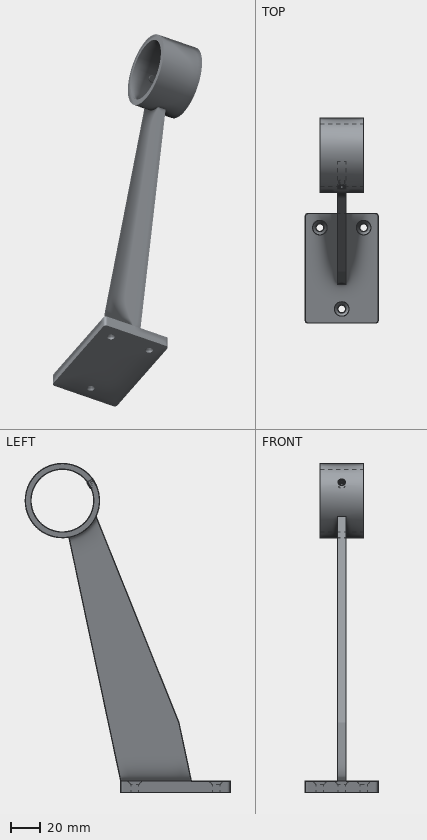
import cadquery as cq
import math

PLATE_WIDTH = 50.0
PLATE_LENGTH = 75.0
PLATE_THICKNESS = 8.0
PLATE_CORNER_RADIUS = 2.0

HOLE_DIAMETER = 5.2
COUNTERSINK_DIAMETER = 10.0
COUNTERSINK_ANGLE = 90
HOLE_EDGE_DISTANCE = 9.7
REAR_HOLE_SPACING = 30.0

TOTAL_DEPTH = 140.5
TOTAL_HEIGHT = 225.5
RING_OUTER_DIAMETER = 51.0
RING_BORE_DIAMETER = 42.8
RING_WIDTH = 30.0
RING_OUTER_RADIUS = RING_OUTER_DIAMETER / 2
RING_BORE_RADIUS = RING_BORE_DIAMETER / 2
RING_CENTER_Y = TOTAL_DEPTH - RING_OUTER_RADIUS
RING_CENTER_Z = TOTAL_HEIGHT - RING_OUTER_RADIUS

ARM_THICKNESS = 5.9
ARM_BASE_FRONT_Y = 26.5
ARM_LEAN = 12
ARM_UPPER_FRONT_LEAN = 21.9
ARM_KINK_Z = 48.0

SCREW_ELEVATION = 30
SCREW_DIAMETER = 5.0
SCREW_END_DIAMETER = 4.3
SCREW_CHAMFER = (SCREW_DIAMETER - SCREW_END_DIAMETER) / 2
SCREW_RECESS = 0.2
SCREW_PROTRUSION = 0.7
SCREW_OUTER_REACH = RING_OUTER_RADIUS - SCREW_RECESS
SCREW_INNER_REACH = RING_BORE_RADIUS - SCREW_PROTRUSION
SCREW_LENGTH = SCREW_OUTER_REACH - SCREW_INNER_REACH
SOCKET_SIDES = 6
SOCKET_ACROSS_FLATS = 2.5
SOCKET_DEPTH = 2.5


def cylinder_along_x(diameter, length):
    """Cylinder on the ring axis, its length centred on X = 0."""
    return (
        cq.Workplane("YZ", origin=(-length / 2, RING_CENTER_Y, RING_CENTER_Z))
        .circle(diameter / 2)
        .extrude(length)
    )


def screw_plane(reach):
    """Plane facing outward along the screw axis, at a distance from the ring centre."""
    elevation = math.radians(SCREW_ELEVATION)
    outward = (0, -math.cos(elevation), math.sin(elevation))
    origin = (0, RING_CENTER_Y + reach * outward[1], RING_CENTER_Z + reach * outward[2])
    return cq.Plane(origin=origin, xDir=(1, 0, 0), normal=outward)


def make_plate():
    """Base plate with rounded corners and three countersunk holes."""
    rear_hole_y = PLATE_LENGTH - HOLE_EDGE_DISTANCE
    hole_points = [
        (-REAR_HOLE_SPACING / 2, rear_hole_y),
        (REAR_HOLE_SPACING / 2, rear_hole_y),
        (0, HOLE_EDGE_DISTANCE),
    ]
    return (
        cq.Workplane("XY")
        .box(PLATE_WIDTH, PLATE_LENGTH, PLATE_THICKNESS, centered=(True, False, False))
        .edges("|Z")
        .fillet(PLATE_CORNER_RADIUS)
        .faces(">Z")
        .workplane(origin=(0, 0, 0))
        .pushPoints(hole_points)
        .cskHole(HOLE_DIAMETER, COUNTERSINK_DIAMETER, COUNTERSINK_ANGLE)
    )


def make_arm():
    """Leaning flat web that runs up into the ring's circle."""
    lean_slope = math.tan(math.radians(ARM_LEAN))
    upper_slope = math.tan(math.radians(ARM_UPPER_FRONT_LEAN))
    kink_y = ARM_BASE_FRONT_Y + (ARM_KINK_Z - PLATE_THICKNESS) * lean_slope
    front_top_y = kink_y + (RING_CENTER_Z - ARM_KINK_Z) * upper_slope
    back_top_y = PLATE_LENGTH + (RING_CENTER_Z - PLATE_THICKNESS) * lean_slope
    outline = [
        (ARM_BASE_FRONT_Y, PLATE_THICKNESS),
        (kink_y, ARM_KINK_Z),
        (front_top_y, RING_CENTER_Z),
        (back_top_y, RING_CENTER_Z),
        (PLATE_LENGTH, PLATE_THICKNESS),
    ]
    return (
        cq.Workplane("YZ", origin=(-ARM_THICKNESS / 2, 0, 0))
        .polyline(outline)
        .close()
        .extrude(ARM_THICKNESS)
    )


def make_bracket():
    """Plate, arm and ring as one body, with the bore and the screw hole cut last."""
    screw_hole = (
        cq.Workplane(screw_plane(0))
        .circle(SCREW_DIAMETER / 2)
        .extrude(RING_OUTER_DIAMETER)
    )
    return (
        make_plate()
        .union(make_arm())
        .union(cylinder_along_x(RING_OUTER_DIAMETER, RING_WIDTH))
        .cut(cylinder_along_x(RING_BORE_DIAMETER, RING_WIDTH))
        .cut(screw_hole)
    )


def make_set_screw():
    """Set screw with chamfered ends and a hexagon socket in its outer end."""
    socket_corner_diameter = SOCKET_ACROSS_FLATS / math.cos(math.pi / SOCKET_SIDES)
    socket = (
        cq.Workplane(screw_plane(SCREW_OUTER_REACH))
        .polygon(SOCKET_SIDES, socket_corner_diameter)
        .extrude(-SOCKET_DEPTH)
    )
    return (
        cq.Workplane(screw_plane(SCREW_INNER_REACH))
        .circle(SCREW_DIAMETER / 2)
        .extrude(SCREW_LENGTH)
        .edges()
        .chamfer(SCREW_CHAMFER)
        .cut(socket)
    )


bracket = make_bracket()
set_screw = make_set_screw()

result = cq.Compound.makeCompound([bracket.val(), set_screw.val()])